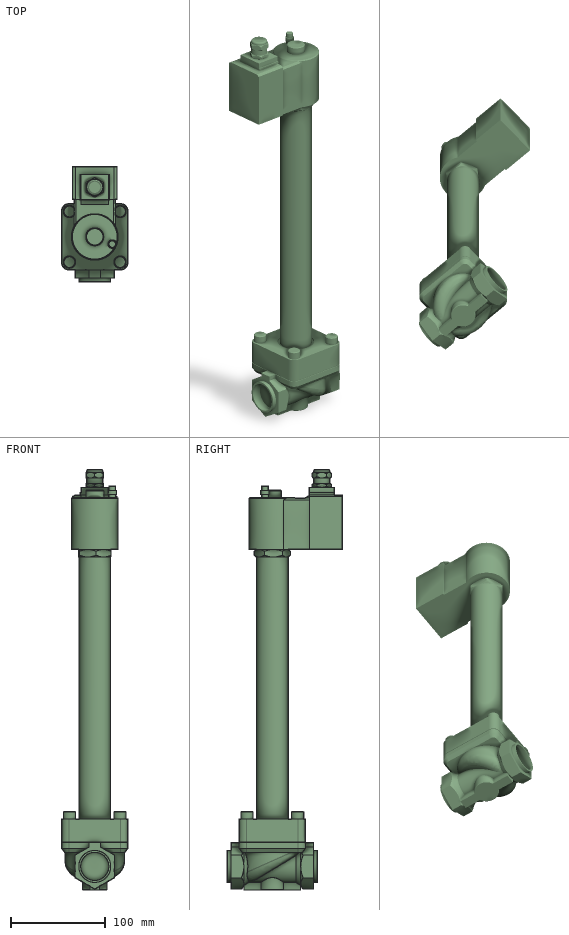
import cadquery as cq
import math


base_z = -25.0
flange_side = 70.0
flange_corner_radius = 8.0
flange_bottom_z = 14.5
flange_top_z = 25.0
flange_taper_height = 4.5
flange_taper_width = 3.5
chamber_diameter = 63.0
chamber_floor_angle = 31.0
chamber_floor_z = -3.5
chamber_floor_fillet = 8.0
passage_diameter = 35.0
rib_width = 10.0
rib_length = 60.0
boss_diameter = 26.0
boss_chamfer = 0.7

port_reach = 47.65
port_sleeve_diameter = 33.7
port_bore_diameter = 29.7
port_bore_depth = 10.0
port_hex_flats = 41.5
port_hex_outer_y = 43.5
port_hex_inner_y = 30.0
port_hex_crown = 2.5
port_cone_end_y = 25.0
bridge_width = 12.6

gasket_height = 1.0
gasket_inset = 0.8
cover_top_z = 50.0
screw_spacing = 53.4
screw_head_diameter = 13.0
screw_head_height = 8.0
screw_head_chamfer = 0.8

tube_diameter = 33.7
tube_recess_diameter = 38.5
tube_recess_depth = 1.0
nut_flats = 33.4
nut_height = 8.0
nut_turn = 4.0
nut_crown = 2.0

coil_bottom_z = 334.3
coil_top_z = 389.0
coil_diameter = 49.2
coil_edge_chamfer = 1.0
bridge_block_width = 43.4
bridge_block_chamfer = 2.0
block_top_z = coil_top_z - 0.7
knob_diameter = 19.0
knob_height = 8.0
knob_chamfer = 0.8

terminal_x = 18.5
terminal_y = -7.7
terminal_post_diameter = 7.1
terminal_post_height = 3.0
terminal_disc_diameter = 9.0
terminal_disc_height = 4.5
terminal_cap_diameter = 7.0
terminal_cap_height = 4.6

plug_width = 47.0
plug_back_y = 73.95
plug_front_y = 39.5
plug_top_z = 391.7
plug_chamfer_width = 3.2
plug_chamfer_height = 1.6

gland_y = 52.2
gland_base_width = 29.0
gland_base_length = 26.5
gland_base_height = 8.1
gland_skirt_width = 31.0
gland_skirt_height = 2.6
gland_hex_flats = 18.0
gland_lower_hex_height = 4.0
gland_lower_hex_crown = 1.2
gland_neck_diameter = 17.0
gland_neck_height = 5.7
gland_upper_hex_height = 6.2
gland_upper_hex_crown = 1.8
gland_cap_height = 2.9
gland_cap_fillet = 2.0
flare_width = 28.6
flare_length = 5.3


def cylinder(diameter, bottom_z, height, x=0, y=0):
    return cq.Workplane("XY", origin=(x, y, bottom_z)).circle(diameter / 2).extrude(height)


def box(width, y_min, y_max, z_min, z_max):
    """Box centred on X = 0."""
    centre = (0, (y_min + y_max) / 2, (z_min + z_max) / 2)
    return cq.Workplane("XY").box(width, y_max - y_min, z_max - z_min).translate(centre)


def crowned_hexagon(flats, height, crown, crowned_ends=("<Z", ">Z"), first_corner=90.0):
    """Hexagon from Z = 0 upwards, its corners turned down to the flats over the crown height."""
    corner_diameter = flats / math.cos(math.pi / 6)
    hexagon = (
        cq.Workplane("XY")
        .polygon(6, corner_diameter)
        .extrude(height)
        .rotate((0, 0, 0), (0, 0, 1), first_corner)
    )
    corner_drop = (corner_diameter - flats) / 2
    turned = cylinder(corner_diameter, 0, height)
    for end in crowned_ends:
        turned = turned.faces(end).chamfer(crown, corner_drop)
    return hexagon.intersect(turned)


def flange_plate(bottom_z, top_z, inset=0.0):
    """Square plate with the rounded flange outline, drawn in by the inset."""
    side = flange_side - 2 * inset
    plate = box(side, -side / 2, side / 2, bottom_z, top_z)
    return plate.edges("|Z").fillet(flange_corner_radius - inset)


def make_chamber():
    """Round chamber under the flange, closed below by a sloping floor."""
    chamber = cylinder(chamber_diameter, base_z, flange_top_z - base_z)
    below_floor = (
        cq.Workplane("XY")
        .box(2 * chamber_diameter, 2 * chamber_diameter, chamber_diameter)
        .translate((0, 0, -chamber_diameter / 2))
        .rotate((0, 0, 0), (1, 0, 0), chamber_floor_angle)
        .translate((0, 0, chamber_floor_z))
    )
    return chamber.cut(below_floor).faces("<Z").edges().fillet(chamber_floor_fillet)


def make_port():
    """Port on the -Y side: sleeve, hexagon and the cone leading into the passage."""
    sleeve = cylinder(port_sleeve_diameter, 0, port_reach)
    hex_height = port_hex_outer_y - port_hex_inner_y
    hexagon = crowned_hexagon(port_hex_flats, hex_height, port_hex_crown, crowned_ends=("<Z",))
    cone = (
        cq.Workplane("XY", origin=(0, 0, port_cone_end_y))
        .circle(passage_diameter / 2)
        .workplane(offset=port_hex_inner_y - port_cone_end_y)
        .circle(port_hex_flats / 2)
        .loft()
    )
    port = sleeve.union(cone).union(hexagon.translate((0, 0, port_hex_inner_y)))
    return port.rotate((0, 0, 0), (1, 0, 0), 90)


def make_body():
    flange = flange_plate(flange_bottom_z, flange_top_z)
    flange = flange.faces("<Z").chamfer(flange_taper_height, flange_taper_width)
    passage = cq.Workplane("XZ").circle(passage_diameter / 2).extrude(port_hex_inner_y, both=True)
    bridge = box(bridge_width, -port_hex_outer_y, port_hex_outer_y, 0, flange_top_z)
    rib = box(rib_width, -rib_length / 2, rib_length / 2, base_z, 0)
    boss = cylinder(boss_diameter, base_z, -base_z).faces("<Z").chamfer(boss_chamfer)
    body = make_chamber().union(flange).union(passage).union(bridge).union(rib).union(boss)
    port = make_port()
    bore = (
        cq.Workplane("XZ", origin=(0, -port_reach, 0))
        .circle(port_bore_diameter / 2)
        .extrude(-port_bore_depth)
    )
    for turn in (0, 180):
        body = body.union(port.rotate((0, 0, 0), (0, 0, 1), turn))
        body = body.cut(bore.rotate((0, 0, 0), (0, 0, 1), turn))
    return body


def make_cover():
    gasket_top = flange_top_z + gasket_height
    cover = flange_plate(flange_top_z, gasket_top, gasket_inset)
    cover = cover.union(flange_plate(gasket_top, cover_top_z))
    cover = cover.cut(cylinder(tube_recess_diameter, cover_top_z - tube_recess_depth, tube_recess_depth))
    for x in (-screw_spacing / 2, screw_spacing / 2):
        for y in (-screw_spacing / 2, screw_spacing / 2):
            screw_head = cylinder(screw_head_diameter, cover_top_z, screw_head_height, x, y)
            cover = cover.union(screw_head.faces(">Z").chamfer(screw_head_chamfer))
    return cover


def make_tube():
    tube_bottom = cover_top_z - tube_recess_depth
    tube = cylinder(tube_diameter, tube_bottom, coil_bottom_z - nut_height - tube_bottom)
    nut = crowned_hexagon(nut_flats, nut_height, nut_crown, first_corner=90 + nut_turn)
    return tube.union(nut.translate((0, 0, coil_bottom_z - nut_height)))


def make_coil():
    coil = cylinder(coil_diameter, coil_bottom_z, coil_top_z - coil_bottom_z)
    coil = coil.faces(">Z").chamfer(coil_edge_chamfer)
    block = box(bridge_block_width, 0, plug_front_y, coil_bottom_z, block_top_z)
    block = block.edges("|Y and >Z").chamfer(bridge_block_chamfer)
    knob = cylinder(knob_diameter, coil_top_z, knob_height).faces(">Z").chamfer(knob_chamfer)
    return coil.union(block).union(knob).union(make_terminal())


def make_terminal():
    """Earth terminal screw: post, clamping disc and cap stacked on the coil top."""
    terminal = cq.Workplane("XY", origin=(terminal_x, terminal_y, coil_top_z))
    terminal = terminal.circle(terminal_post_diameter / 2).extrude(terminal_post_height)
    disc_z = coil_top_z + terminal_post_height
    disc = cylinder(terminal_disc_diameter, disc_z, terminal_disc_height, terminal_x, terminal_y)
    cap_z = disc_z + terminal_disc_height
    cap = cylinder(terminal_cap_diameter, cap_z, terminal_cap_height, terminal_x, terminal_y)
    return terminal.union(disc).union(cap)


def make_plug():
    plug = box(plug_width, plug_front_y, plug_back_y, coil_bottom_z, plug_top_z)
    return plug.edges("|Y").edges(">Z").chamfer(plug_chamfer_height, plug_chamfer_width)


def make_gland():
    """Cable gland on the plug: square base, flare towards the coil, two hexagons, neck and cap."""
    base_front = gland_y - gland_base_length / 2
    base_back = gland_y + gland_base_length / 2
    base_top = plug_top_z + gland_base_height
    gland = box(gland_base_width, base_front, base_back, plug_top_z, base_top)
    gland = gland.union(
        box(gland_skirt_width, base_front, base_back, plug_top_z, plug_top_z + gland_skirt_height)
    )
    flare = (
        cq.Workplane("YZ", origin=(-flare_width / 2, 0, 0))
        .moveTo(plug_front_y, block_top_z)
        .lineTo(plug_front_y - flare_length, block_top_z)
        .lineTo(plug_front_y, plug_top_z)
        .close()
        .extrude(flare_width)
    )
    lower_hex = crowned_hexagon(gland_hex_flats, gland_lower_hex_height, gland_lower_hex_crown)
    upper_hex = crowned_hexagon(gland_hex_flats, gland_upper_hex_height, gland_upper_hex_crown)
    neck_z = base_top + gland_lower_hex_height
    upper_hex_z = neck_z + gland_neck_height
    cap_z = upper_hex_z + gland_upper_hex_height
    cap = cylinder(gland_neck_diameter, cap_z, gland_cap_height, y=gland_y)
    gland = gland.union(flare)
    gland = gland.union(lower_hex.translate((0, gland_y, base_top)))
    gland = gland.union(cylinder(gland_neck_diameter, neck_z, gland_neck_height, y=gland_y))
    gland = gland.union(upper_hex.translate((0, gland_y, upper_hex_z)))
    return gland.union(cap.faces(">Z").edges().fillet(gland_cap_fillet))


result = make_body()
for section in (make_cover(), make_tube(), make_coil(), make_plug(), make_gland()):
    result = result.union(section)